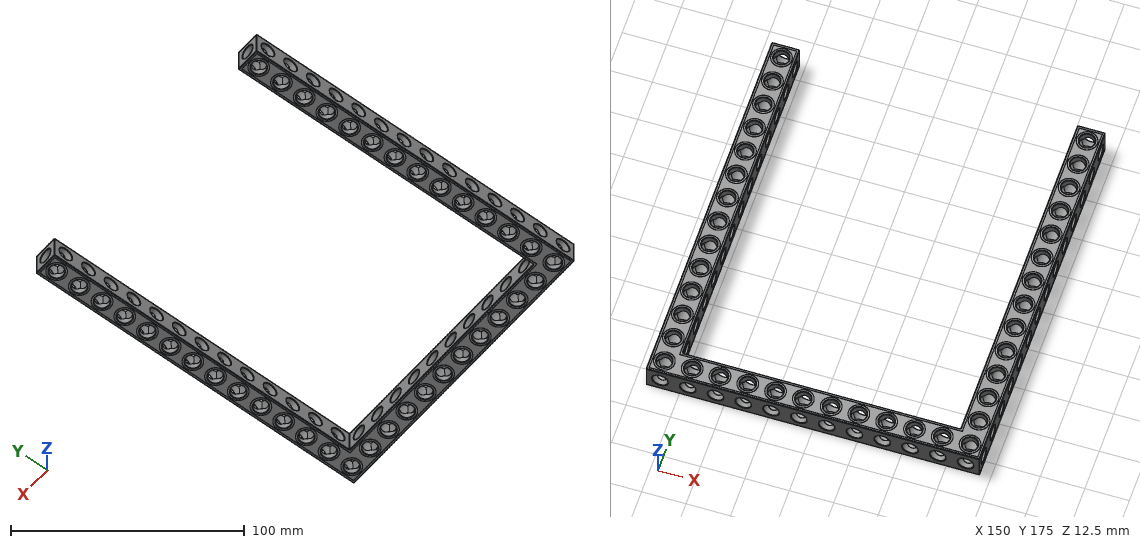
import cadquery as cq
length = 175.0
holes_per_arm = 14
holes_per_base = 12
hole_diameter = 7.0
mouth_diameter = 7.5
ring_diameter = 9.3
rim_width = 1.08
recess_depth = 0.2
edge_chamfer = 0.3

pitch = length / holes_per_arm
width = holes_per_base * pitch
half_bar = pitch / 2

columns = range(holes_per_base)
rows = range(holes_per_arm)
end_columns = (0, holes_per_base - 1)


def cell_centre(index):
    """Distance from the outer face to the middle of the numbered cell."""
    return (index + 0.5) * pitch


cell_centres = [
    (cell_centre(column), cell_centre(row))
    for column in columns
    for row in rows
    if row == 0 or column in end_columns
]


def u_outline(inset):
    """Outline of the U-shaped frame, pulled in by the inset on every side."""
    right = width - inset
    back = length - inset
    inner_left = pitch - inset
    inner_right = width - inner_left
    return (
        cq.Workplane("XY")
        .polyline(
            [
                (inset, inset),
                (right, inset),
                (right, back),
                (inner_right, back),
                (inner_right, inner_left),
                (inner_left, inner_left),
                (inner_left, back),
                (inset, back),
            ]
        )
        .close()
    )


def make_frame():
    """U-shaped frame of square bar, open towards +Y, with recessed top and bottom."""
    frame = u_outline(0).extrude(half_bar, both=True).edges().chamfer(edge_chamfer)
    rings = cq.Workplane("XY").pushPoints(cell_centres).circle(ring_diameter / 2).extrude(recess_depth)
    recess = u_outline(rim_width).extrude(recess_depth).cut(rings)
    top_recess = recess.translate((0, 0, half_bar - recess_depth))
    bottom_recess = recess.translate((0, 0, -half_bar))
    return frame.cut(top_recess).cut(bottom_recess)


def bevelled_hole(depth):
    """Cutter along +Z, from Z = 0 to the depth, with a 45 degree bevel at both ends."""
    radius = hole_diameter / 2
    mouth_radius = mouth_diameter / 2
    bevel = mouth_radius - radius
    return (
        cq.Workplane("XZ")
        .polyline(
            [
                (0, 0),
                (mouth_radius, 0),
                (radius, bevel),
                (radius, depth - bevel),
                (mouth_radius, depth),
                (0, depth),
            ]
        )
        .close()
        .revolve(360, (0, 0, 0), (0, 1, 0))
    )


def hole_along_x(depth):
    """Bevelled hole turned to run along +X."""
    return bevelled_hole(depth).rotate((0, 0, 0), (0, 1, 0), 90)


def hole_along_y(depth):
    """Bevelled hole turned to run along +Y."""
    return bevelled_hole(depth).rotate((0, 0, 0), (1, 0, 0), -90)


cutters = []

for x, y in cell_centres:
    cutters.append(bevelled_hole(pitch).translate((x, y, -half_bar)))

cutters.append(hole_along_x(width).translate((0, cell_centre(0), 0)))
for row in rows[1:]:
    for start in (0, width - pitch):
        cutters.append(hole_along_x(pitch).translate((start, cell_centre(row), 0)))

for column in columns:
    depth = length if column in end_columns else pitch
    cutters.append(hole_along_y(depth).translate((cell_centre(column), 0, 0)))

result = cq.Workplane(make_frame().val().cut(*[cutter.val() for cutter in cutters]))